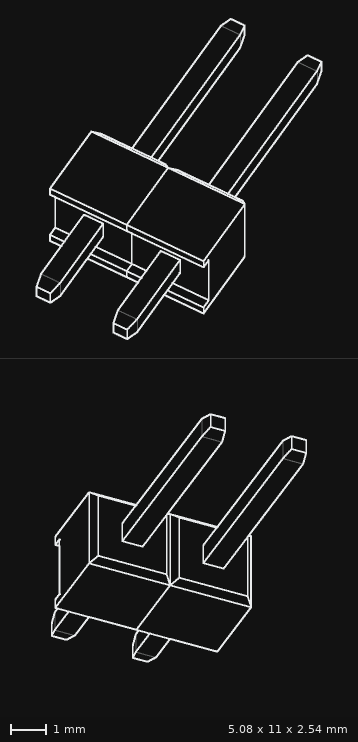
import cadquery as cq

contact_count = 2
pin_length = 10.98
pin_width = 0.64
pin_tip_width = 0.46
pin_tip_length = 0.41

row_width = 5.08
pitch = row_width / contact_count
housing_height = 2.54
housing_length = 2.54
long_pin_exposure = 5.91
back_chamfer = 0.2
channel_depth = 0.3
flange_thickness = 0.3

pin_end_y = pin_length / 2
housing_back_y = pin_end_y - long_pin_exposure
housing_front_y = housing_back_y - housing_length
channel_height = housing_height - 2 * flange_thickness


def make_housing():
    """Chamfered block with a channel along X across its front face."""
    block = (
        cq.Workplane("XY")
        .box(pitch, housing_length, housing_height)
        .faces(">Y")
        .chamfer(back_chamfer)
        .translate((0, housing_back_y - housing_length / 2, 0))
    )
    channel = (
        cq.Workplane("XY")
        .box(pitch, channel_depth, channel_height)
        .translate((0, housing_front_y + channel_depth / 2, 0))
    )
    return block.cut(channel)


def make_pin_tip(direction):
    """Tapered tip; direction is +1 for the +Y end and -1 for the -Y end."""
    base_y = direction * (pin_end_y - pin_tip_length)
    plane = cq.Plane(origin=(0, base_y, 0), xDir=(1, 0, 0), normal=(0, direction, 0))
    return (
        cq.Workplane(plane)
        .rect(pin_width, pin_width)
        .workplane(offset=pin_tip_length)
        .rect(pin_tip_width, pin_tip_width)
        .loft(combine=True)
    )


def make_pin():
    """Square pin, tapered at both ends."""
    shank = cq.Workplane("XY").box(pin_width, pin_length - 2 * pin_tip_length, pin_width)
    return shank.union(make_pin_tip(1)).union(make_pin_tip(-1))


def make_contact(index):
    """One header cell: a housing and its pin as a single solid."""
    x = (index - (contact_count - 1) / 2) * pitch
    return make_housing().union(make_pin()).translate((x, 0, 0))


contacts = [make_contact(index).val() for index in range(contact_count)]

result = cq.Compound.makeCompound(contacts)